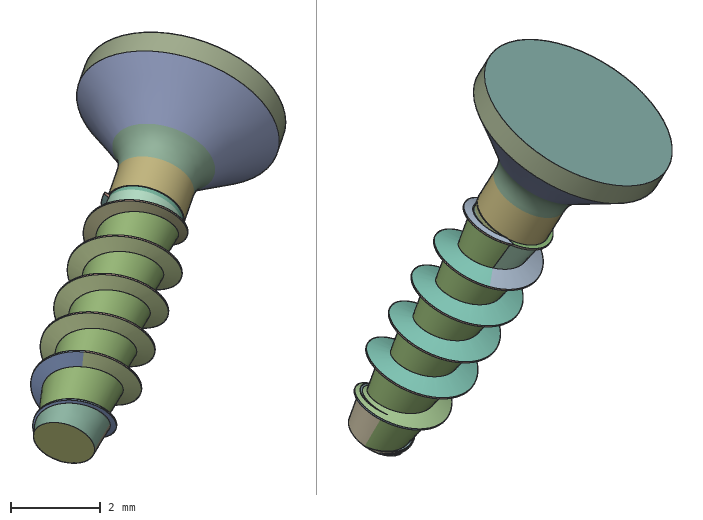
import cadquery as cq
import math


length = 10.0
head_radius = 2.35
rim_depth = 0.55
shank_radius = 0.9
neck_fillet = 1.0
shank_end = 3.25

core_ridge_radius = 0.88
core_taper = math.radians(10)
tip_radius = 0.71

pitch = 1.12
thread_start = 3.28
thread_radius = 1.25
start_crest_radius = 1.01
end_crest_radius = 0.71
start_lip_turns = 0.31
lead_in_turns = 1.0
full_turns = 3.5
run_out_turns = 1.5
crest_width = 0.04
head_flank_slope = 0.29
tip_flank_slope = 0.34
flange_height = 0.65
groove_wall_offset = 0.08

points_per_turn = 12
clear_radius = 1.5
groove_lip = 0.06

neck_angle = math.radians(45)
cone_end_radius = shank_radius + neck_fillet * (1 - math.cos(neck_angle))
cone_end_depth = rim_depth + (head_radius - cone_end_radius) / math.tan(neck_angle)
neck_end_depth = cone_end_depth + neck_fillet * math.sin(neck_angle)
mid_angle = neck_angle / 2
neck_mid_radius = shank_radius + neck_fillet * (1 - math.cos(mid_angle))
neck_mid_depth = neck_end_depth - neck_fillet * math.sin(mid_angle)

full_start = lead_in_turns
full_end = full_start + full_turns
thread_end = full_end + run_out_turns

groove_start = groove_wall_offset
groove_end = pitch - groove_wall_offset


def screw_point(turn, radius, offset):
    """Point on the helix at a radius, offset along the axis from the flange centre."""
    angle = 2 * math.pi * turn
    depth = thread_start + pitch * turn + offset
    return cq.Vector(radius * math.sin(angle), -depth, -radius * math.cos(angle))


def helical_edge(radius, offset, start, end):
    """Helix between two (turn, radial shift) stations."""
    first_turn, first_shift = start
    last_turn, last_shift = end
    steps = math.ceil((last_turn - first_turn) * points_per_turn)
    points = []
    for step in range(steps + 1):
        part = step / steps
        turn = first_turn + (last_turn - first_turn) * part
        shift = first_shift + (last_shift - first_shift) * part
        points.append(screw_point(turn, radius + shift, offset))
    return cq.Edge.makeSpline(points)


def helical_bar(profile, stations):
    """Bar with a (radius, offset) profile, wound through (turn, radial shift) stations."""
    faces = []
    for start, end in zip(stations, stations[1:]):
        edges = [helical_edge(radius, offset, start, end) for radius, offset in profile]
        next_edges = edges[1:] + edges[:1]
        faces += [cq.Face.makeRuledSurface(a, b) for a, b in zip(edges, next_edges)]
    for turn, shift in (stations[0], stations[-1]):
        corners = [screw_point(turn, radius + shift, offset) for radius, offset in profile]
        faces.append(cq.Face.makeFromWires(cq.Wire.makePolygon(corners, close=True)))
    solid = cq.Solid.makeSolid(cq.Shell.makeShell(faces))
    return cq.Workplane(obj=solid.fix())


def turned(outline, degrees=360):
    """Revolve a closed sketch drawn in XY about the screw axis."""
    return outline.close().revolve(degrees, (0, 0, 0), (0, 1, 0))


def make_blank():
    return turned(
        cq.Workplane("XY")
        .lineTo(head_radius, 0)
        .lineTo(head_radius, -rim_depth)
        .lineTo(cone_end_radius, -cone_end_depth)
        .threePointArc((neck_mid_radius, -neck_mid_depth), (shank_radius, -neck_end_depth))
        .lineTo(shank_radius, -shank_end)
        .lineTo(core_ridge_radius, -shank_end)
        .lineTo(core_ridge_radius, -length)
        .lineTo(0, -length)
    )


def outside_of_cone(top_radius, top_depth, bottom_depth):
    """Ring of material lying outside a cone that narrows towards the tip."""
    bottom_radius = top_radius - (bottom_depth - top_depth) * math.tan(core_taper)
    return turned(
        cq.Workplane("XY")
        .moveTo(top_radius, -top_depth)
        .lineTo(clear_radius, -top_depth)
        .lineTo(clear_radius, -bottom_depth)
        .lineTo(bottom_radius, -bottom_depth)
    )


def make_core_groove():
    lip_start = groove_start - groove_lip
    lip_radius = core_ridge_radius + groove_lip * math.tan(core_taper)
    valley_radius = core_ridge_radius - (groove_end - groove_start) * math.tan(core_taper)
    profile = [
        (lip_radius, lip_start),
        (clear_radius, lip_start),
        (clear_radius, groove_end),
        (valley_radius, groove_end),
    ]
    return helical_bar(profile, [(0, 0), (thread_end, 0)])


def make_lead_in_relief():
    """Taper of the core between the shank and the first turn of the flange."""
    foot_radius = thread_radius - flange_height
    band = [
        (foot_radius, groove_start),
        (clear_radius, groove_start),
        (clear_radius, groove_end),
        (foot_radius, groove_end),
    ]
    ring = outside_of_cone(shank_radius, shank_end, shank_end + 2 * pitch)
    return helical_bar(band, [(-1, 0), (0, 0)]).intersect(ring)


def make_core():
    tip_taper_length = (core_ridge_radius - tip_radius) / math.tan(core_taper)
    tip_ring = outside_of_cone(core_ridge_radius, length - tip_taper_length, length)
    core = make_blank().cut(make_core_groove())
    return core.cut(make_lead_in_relief()).cut(tip_ring)


def make_flange_limits():
    """Cylinder that trims the flange ends flush with the shank end and the tip."""
    return turned(
        cq.Workplane("XY")
        .moveTo(0, -shank_end)
        .lineTo(clear_radius, -shank_end)
        .lineTo(clear_radius, -length)
        .lineTo(0, -length)
    )


def make_flange():
    foot_radius = thread_radius - flange_height
    half_crest = crest_width / 2
    profile = [
        (foot_radius, -half_crest - flange_height * head_flank_slope),
        (thread_radius, -half_crest),
        (thread_radius, half_crest),
        (foot_radius, half_crest + flange_height * tip_flank_slope),
    ]
    start_shift = start_crest_radius - thread_radius
    end_shift = end_crest_radius - thread_radius
    stations = [(0, start_shift), (full_start, 0), (full_end, 0), (thread_end, end_shift)]
    return helical_bar(profile, stations).intersect(make_flange_limits())


def make_start_lip():
    """Flat lip at the end of the shank that leads round into the start of the flange."""
    foot_radius = thread_radius - flange_height
    crest_end = thread_start + crest_width / 2
    foot_end = crest_end + (start_crest_radius - foot_radius) * tip_flank_slope
    outline = (
        cq.Workplane("XY")
        .moveTo(foot_radius, -shank_end)
        .lineTo(start_crest_radius, -shank_end)
        .lineTo(start_crest_radius, -crest_end)
        .lineTo(foot_radius, -foot_end)
    )
    to_flange_start = 90
    lip_angle = 360 * start_lip_turns
    lip = turned(outline, lip_angle)
    return lip.rotate((0, 0, 0), (0, 1, 0), to_flange_start)


result = make_core().union(make_flange()).union(make_start_lip())